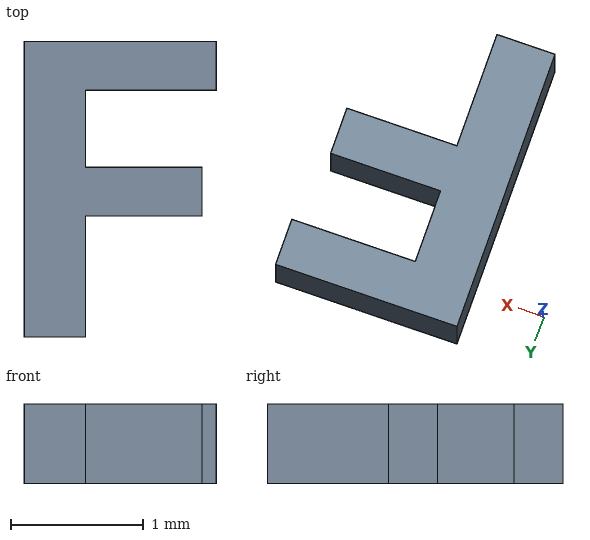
import cadquery as cq

height = 2.23
thickness = 0.6
stem_width = 0.464
bar_width = 0.37
top_arm_reach = 1.45
middle_arm_reach = 1.342
middle_arm_bottom = 0.912


def arm(reach, bottom):
    """Horizontal arm starting at the stem's outer face."""
    return cq.Workplane("XY").box(reach, bar_width, thickness, centered=False).translate((0, bottom, 0))


stem = cq.Workplane("XY").box(stem_width, height, thickness, centered=False)
top_arm = arm(top_arm_reach, height - bar_width)
middle_arm = arm(middle_arm_reach, middle_arm_bottom)

result = stem.union(top_arm).union(middle_arm)